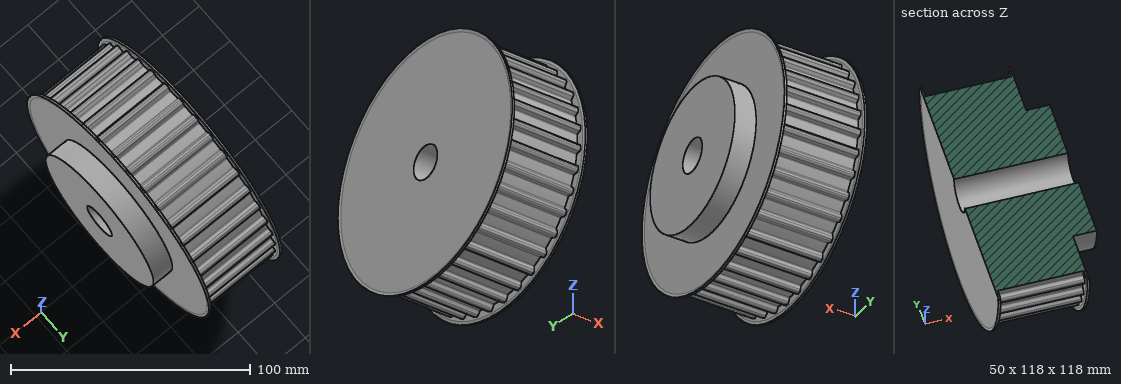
import cadquery as cq
import math


flange_diameter = 118.0
rim_width = 40.0
hub_diameter = 70.0
hub_length = 10.0
bore_diameter = 16.0

flange_plate_diameter = 114.9
flange_thickness = 1.12
flare_depth = 0.3

tooth_count = 36
tip_diameter = 112.8
tooth_height = 2.5
groove_bottom_width = 5.1
groove_flank_angle = 25.0
tip_fillet = 1.2
root_fillet = 0.4
segment_base_depth = 1.2
selection_margin = 0.06

total_length = rim_width + hub_length
tip_radius = tip_diameter / 2
root_radius = tip_radius - tooth_height
tooth_pitch_angle = 360.0 / tooth_count
flange_inner_face = flare_depth + flange_thickness
tooth_length = rim_width - 2 * flange_inner_face


def cylinder_x(diameter, start, length):
    """Solid cylinder on the X axis, running from start in +X."""
    return cq.Workplane("YZ").workplane(offset=start).circle(diameter / 2).extrude(length)


def make_flange():
    """Flange at the X = 0 end, flaring towards -X at its rim."""
    plate_radius = flange_plate_diameter / 2
    flange_radius = flange_diameter / 2
    profile = (
        cq.Workplane("XY")
        .moveTo(flare_depth, 0)
        .lineTo(flare_depth, plate_radius)
        .lineTo(0, flange_radius)
        .lineTo(flange_thickness, flange_radius)
        .lineTo(flange_inner_face, plate_radius)
        .lineTo(flange_inner_face, 0)
        .close()
    )
    return profile.revolve(360, (0, 0, 0), (1, 0, 0))


def flank_point(radius):
    """Point on the flank at the given radius, for a tooth centred on +Y.

    The flank is a straight wall of the neighbouring groove. It is found in the
    groove's own frame and then turned by half a tooth pitch.
    """
    slope = math.tan(math.radians(groove_flank_angle))
    half_width = groove_bottom_width / 2
    root_depth = math.sqrt(root_radius**2 - half_width**2)
    offset = half_width - slope * root_depth
    a = 1 + slope**2
    b = offset * slope
    c = offset**2 - radius**2
    depth = (-b + math.sqrt(b**2 - a * c)) / a
    width = offset + slope * depth
    angle = math.radians(tooth_pitch_angle / 2) - math.atan2(width, depth)
    return radius * math.cos(angle), radius * math.sin(angle)


def edges_near(y, half_width):
    """Selector for the two edges along X that pass through (y, -half_width) and (y, half_width)."""
    boxes = [
        cq.selectors.BoxSelector(
            (0, y - selection_margin, z - selection_margin),
            (rim_width, y + selection_margin, z + selection_margin),
        )
        for z in (-half_width, half_width)
    ]
    return boxes[0] + boxes[1]


def make_tooth_segment():
    """One tooth centred on +Y with half a groove bottom on either side of it."""
    half_pitch = math.radians(tooth_pitch_angle / 2)
    side_y = root_radius * math.cos(half_pitch)
    side_z = root_radius * math.sin(half_pitch)
    base_y = side_y - segment_base_depth
    foot_y, foot_z = flank_point(root_radius)
    tip_y, tip_z = flank_point(tip_radius)
    middle_angle = (half_pitch + math.atan2(foot_z, foot_y)) / 2
    middle_y = root_radius * math.cos(middle_angle)
    middle_z = root_radius * math.sin(middle_angle)
    segment = (
        cq.Workplane("YZ")
        .workplane(offset=flange_inner_face)
        .moveTo(base_y, -side_z)
        .lineTo(side_y, -side_z)
        .threePointArc((middle_y, -middle_z), (foot_y, -foot_z))
        .lineTo(tip_y, -tip_z)
        .threePointArc((tip_radius, 0), (tip_y, tip_z))
        .lineTo(foot_y, foot_z)
        .threePointArc((middle_y, middle_z), (side_y, side_z))
        .lineTo(base_y, side_z)
        .close()
        .extrude(tooth_length)
    )
    segment = segment.edges("|X").edges(edges_near(tip_y, tip_z)).fillet(tip_fillet)
    return segment.edges("|X").edges(edges_near(foot_y, foot_z)).fillet(root_fillet)


def make_toothed_rim():
    core_diameter = 2 * root_radius - segment_base_depth
    rim = cylinder_x(core_diameter, flange_inner_face, tooth_length)
    segment = make_tooth_segment()
    for index in range(tooth_count):
        angle = (index + 0.5) * tooth_pitch_angle
        rim = rim.union(segment.rotate((0, 0, 0), (1, 0, 0), angle))
    return rim


near_flange = make_flange()
far_flange = near_flange.mirror("YZ").translate((rim_width, 0, 0))

hub_start = rim_width - flange_inner_face
hub = cylinder_x(hub_diameter, hub_start, total_length - hub_start)

bore = cylinder_x(bore_diameter, 0, total_length)

result = make_toothed_rim().union(near_flange).union(far_flange).union(hub).cut(bore)